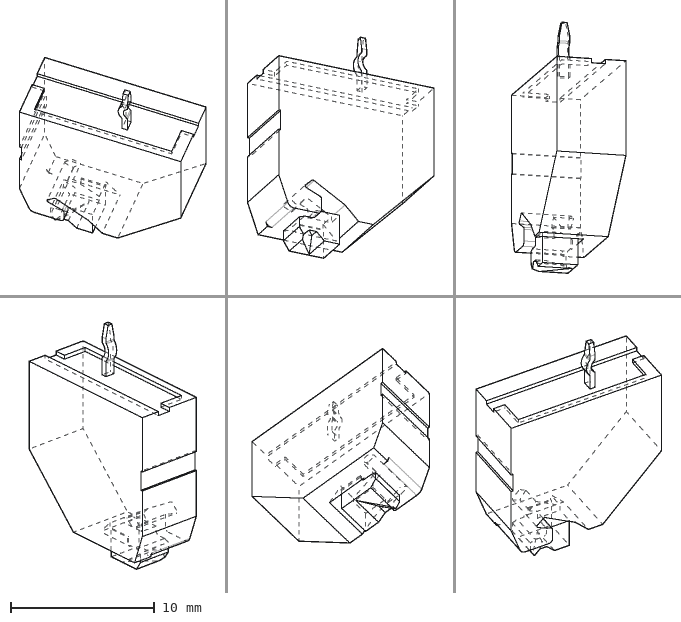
import cadquery as cq

length = 12.0
thickness = 5.0
total_height = 16.7
housing_bottom = 1.6
housing_top = 13.11
left_chamfer_x = 0.82
left_chamfer_z = 3.92
right_chamfer_x = 7.31
right_chamfer_z = 6.33
bottom_round = 0.5

side_groove_bottom = 7.45
side_groove_top = 8.92
side_groove_depth = 0.15

recess_depth = 0.3
recess_floor_z = housing_top - recess_depth
recess_rim = 0.6
recess_end_rim = 0.9
rim_end_y = 2.5
recess_back_y = 3.5

slot_depth = 3.5
slot_wall_x = 3.3
tooth_corner_z = 2.87
slot_tip_low = (1.94, 3.45)
slot_tip_high = (2.64, 4.09)
slot_roof_end = (5.13, 2.65)
slot_mouth_x = 6.16
slot_tip_round = 0.15
tooth_round = 0.2
tooth_bottom_round = 0.3

latch_front_y = 0.85
latch_back_y = 3.4
latch_left_x = 2.0
latch_right_x = 5.13
latch_top = 2.22
latch_lip_z = 1.45
latch_lip_x = 2.4
latch_toe_z = 0.7
latch_toe_x = 2.45

notch_left_x = 2.15
notch_roof_left_x = 2.77
notch_roof_right_x = 3.32
notch_right_x = 3.94
notch_height = 0.6
notch_back_normal = (0.6, -0.45, -0.65)

arm_front_y = 2.17
arm_tip_low = (2.69, 3.15)
arm_tip_high = (3.2, 3.77)
ramp_start_x = 2.5
ramp_end_x = 3.25
ramp_drop = 0.12

pin_left_x = 7.1
pin_thickness = 0.4
pin_right_x = pin_left_x + pin_thickness
pin_front_y = 1.42
pin_width = 0.75
pin_tip_width = 0.37
pin_taper_z = 15.73
bend_z = 14.71
bend_outer_half = 0.7
bend_outer_left_x = 6.81
bend_inner_half = 0.55
bend_inner_left_x = 7.2
bend_round = 0.17


def prism(outline, front_y, back_y):
    """Extrude a closed XZ outline from front_y to back_y."""
    return cq.Workplane("XZ", origin=(0, front_y, 0)).polyline(outline).close().extrude(front_y - back_y)


def block(x_range, y_range, z_range):
    """Box spanning the given ranges."""
    spans = (x_range, y_range, z_range)
    size = [high - low for low, high in spans]
    return cq.Workplane("XY").box(*size, centered=False).translate([low for low, high in spans])


def round_edge(body, x, z, radius):
    """Fillet the edge along Y nearest the point (x, z)."""
    middle_y = slot_depth / 2
    picked = cq.selectors.NearestToPointSelector((x, middle_y, z))
    return body.edges("|Y").edges(picked).fillet(radius)


def housing_outline_solid(front_y, back_y):
    outline = [
        (0, housing_top),
        (length, housing_top),
        (length, right_chamfer_z),
        (right_chamfer_x, housing_bottom),
        (left_chamfer_x, housing_bottom),
        (0, left_chamfer_z),
    ]
    return prism(outline, front_y, back_y)


def slot(depth):
    outline = [
        (slot_wall_x, housing_bottom),
        (slot_wall_x, tooth_corner_z),
        slot_tip_low,
        slot_tip_high,
        slot_roof_end,
        (slot_mouth_x, housing_bottom),
    ]
    cutter = prism(outline, 0, depth)
    cutter = round_edge(cutter, *slot_tip_low, slot_tip_round)
    cutter = round_edge(cutter, *slot_tip_high, slot_tip_round)
    return round_edge(cutter, slot_wall_x, tooth_corner_z, tooth_round)


def slot_tip_ramp():
    """Sloped floor that deepens the slot from near its tip towards the arm."""
    plan = [
        (ramp_start_x, 0),
        (ramp_start_x, slot_depth),
        (ramp_end_x, slot_depth + ramp_drop),
        (ramp_end_x, 0),
    ]
    wedge = cq.Workplane("XY").polyline(plan).close().extrude(housing_top)
    return slot(slot_depth + ramp_drop).intersect(wedge)


def housing():
    slotted = housing_outline_solid(0, slot_depth).cut(slot(slot_depth))
    slotted = round_edge(slotted, left_chamfer_x, housing_bottom, bottom_round)
    slotted = round_edge(slotted, slot_wall_x, housing_bottom, tooth_bottom_round)
    body = slotted.union(housing_outline_solid(slot_depth, thickness)).cut(slot_tip_ramp())

    recess_z = (recess_floor_z, housing_top)
    body = body.cut(block((recess_end_rim, length - recess_end_rim), (recess_rim, rim_end_y), recess_z))
    body = body.cut(block((0, length), (rim_end_y, recess_back_y), recess_z))

    groove_z = (side_groove_bottom, side_groove_top)
    return body.cut(block((0, side_groove_depth), (0, thickness), groove_z))


def latch():
    outline = [
        (slot_wall_x, latch_top),
        (latch_right_x, latch_top),
        (latch_right_x, 0),
        (latch_toe_x, 0),
        (latch_left_x, latch_toe_z),
        (latch_left_x, latch_lip_z),
        (latch_lip_x, housing_bottom),
        (slot_wall_x - tooth_bottom_round, housing_bottom),
        (slot_wall_x, housing_bottom + tooth_bottom_round),
    ]
    return prism(outline, latch_front_y, latch_back_y).cut(latch_notch())


def latch_notch():
    """Trapezoidal cut limited at the back by one slanted plane."""
    outline = [
        (notch_left_x, 0),
        (notch_roof_left_x, notch_height),
        (notch_roof_right_x, notch_height),
        (notch_right_x, 0),
    ]
    corner = (notch_roof_left_x, latch_front_y, notch_height)
    back_face = cq.Plane(origin=corner, normal=notch_back_normal)
    open_side = cq.Workplane(back_face).rect(length, length).extrude(length)
    return prism(outline, latch_front_y, latch_back_y).intersect(open_side)


def latch_arm():
    """Arm that plugs the back of the slot and joins the latch to the housing."""
    outline = [
        (slot_wall_x, latch_top),
        arm_tip_low,
        arm_tip_high,
        slot_roof_end,
        (latch_right_x, latch_top),
    ]
    return prism(outline, arm_front_y, slot_depth + ramp_drop)


def pin_bend_profile():
    """Pin strip at full width, bowed to the left around bend_z."""
    profile = (
        cq.Workplane("XZ", origin=(0, pin_front_y, 0))
        .moveTo(pin_left_x, recess_floor_z)
        .lineTo(pin_left_x, bend_z - bend_outer_half)
        .threePointArc((bend_outer_left_x, bend_z), (pin_left_x, bend_z + bend_outer_half))
        .lineTo(pin_left_x, total_height)
        .lineTo(pin_right_x, total_height)
        .lineTo(pin_right_x, bend_z + bend_inner_half)
        .threePointArc((bend_inner_left_x, bend_z), (pin_right_x, bend_z - bend_inner_half))
        .lineTo(pin_right_x, recess_floor_z)
        .close()
        .extrude(-pin_width)
    )
    for direction in (-1, 1):
        profile = round_edge(profile, pin_left_x, bend_z + direction * bend_outer_half, bend_round)
        profile = round_edge(profile, pin_right_x, bend_z + direction * bend_inner_half, bend_round)
    return profile


def pin():
    back_y = pin_front_y + pin_width
    tip_inset = (pin_width - pin_tip_width) / 2
    tapered_outline = [
        (pin_front_y, recess_floor_z),
        (pin_front_y, pin_taper_z),
        (pin_front_y + tip_inset, total_height),
        (back_y - tip_inset, total_height),
        (back_y, pin_taper_z),
        (back_y, recess_floor_z),
    ]
    taper = cq.Workplane("YZ").polyline(tapered_outline).close().extrude(length)
    return pin_bend_profile().intersect(taper)


result = housing().union(latch()).union(latch_arm()).union(pin())